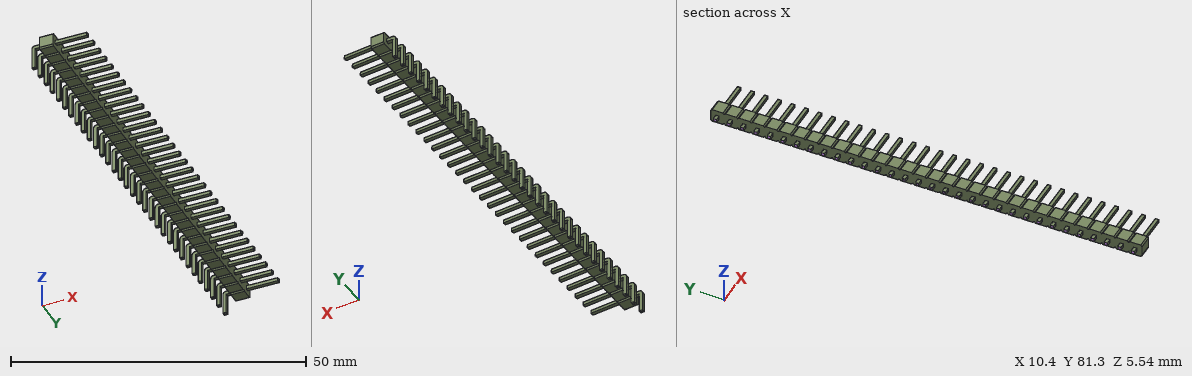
import cadquery as cq

pin_count = 32
pitch = 2.54

body_width = pitch
body_height = pitch
body_chamfer = pitch / 10

pin_size = 0.64
tip_chamfer = pin_size / 4
bend_radius = pin_size
mating_length = 6.0
leg_offset = 1.5
leg_drop = 3.0

row_length = pin_count * pitch
leg_x = -body_width / 2 - leg_offset
tip_x = body_width / 2 + mating_length
leg_bottom_z = -body_height / 2 - leg_drop


def make_body_segment(y):
    """One housing cell with its four X-direction edges chamfered."""
    return (
        cq.Workplane("XY")
        .box(body_width, pitch, body_height)
        .edges("|X")
        .chamfer(body_chamfer)
        .translate((0, y, 0))
    )


def make_pin(y):
    """One bent pin with a rounded outer bend and tapered ends."""
    half = pin_size / 2
    blank = (
        cq.Workplane("XZ")
        .moveTo(leg_x - half, leg_bottom_z)
        .lineTo(leg_x + half, leg_bottom_z)
        .lineTo(leg_x + half, -half)
        .lineTo(tip_x, -half)
        .lineTo(tip_x, half)
        .lineTo(leg_x - half, half)
        .close()
        .extrude(half, both=True)
    )
    bent = blank.faces("<X").edges(">Z").fillet(bend_radius)
    tapered = bent.faces(">X").chamfer(tip_chamfer).faces("<Z").chamfer(tip_chamfer)
    return tapered.translate((0, y, 0))


first_y = -(row_length - pitch) / 2
cell_solids = []
for index in range(pin_count):
    cell_y = first_y + index * pitch
    cell = make_body_segment(cell_y).union(make_pin(cell_y))
    cell_solids.append(cell.val())

header = cell_solids[0].fuse(*cell_solids[1:]).clean()
result = cq.Workplane("XY").newObject([header])